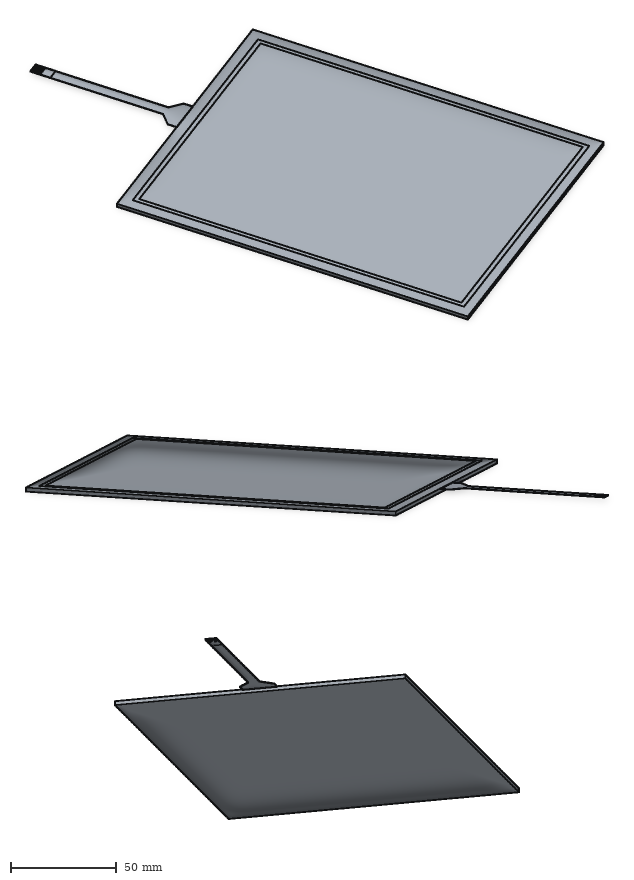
import cadquery as cq

total_length = 265.5
panel_length = 185.5
panel_width = 143.5
total_height = 2.1

frame_height = 0.1
frame_outer_left = 5.5
frame_outer_right = 4.8
frame_outer_side = 5.5
frame_band_x = 2.5
frame_band_y = 2.0

tail_length = total_length - panel_length
tail_width = 5.5
tail_thickness = 0.32
tail_top = 1.9
root_width = 17.0
root_straight = 4.8
root_taper = 5.3
root_overlap = 2.7

stiffener_length = 10.5
stiffener_thickness = 0.05
contact_count = 4
contact_pitch = 1.0
contact_width = 0.5
contact_length = 5.3
contact_height = 0.05

panel_left = -total_length / 2 + tail_length
panel_right = total_length / 2
panel_top = total_height - frame_height
tail_tip = -total_length / 2


def box(x_start, x_end, width, z_bottom, height, y_center=0.0):
    """Box between two X positions, centred on y_center."""
    return (
        cq.Workplane("XY", origin=((x_start + x_end) / 2, y_center, z_bottom))
        .rect(x_end - x_start, width)
        .extrude(height)
    )


def make_panel():
    """Glass plate carrying a thin raised rectangular frame."""
    plate = box(panel_left, panel_right, panel_width, 0, panel_top)
    left = panel_left + frame_outer_left
    right = panel_right - frame_outer_right
    width = panel_width - 2 * frame_outer_side
    frame = box(left, right, width, panel_top, frame_height)
    window = box(
        left + frame_band_x,
        right - frame_band_x,
        width - 2 * frame_band_y,
        panel_top,
        frame_height,
    )
    return plate.union(frame.cut(window))


def make_tail():
    """Flat ribbon that widens to its root and enters the panel edge."""
    root_end = panel_left + root_overlap
    shoulder = panel_left - root_straight
    neck = shoulder - root_taper
    return (
        cq.Workplane("XY", origin=(0, 0, tail_top - tail_thickness))
        .polyline([
            (tail_tip, -tail_width / 2),
            (neck, -tail_width / 2),
            (shoulder, -root_width / 2),
            (root_end, -root_width / 2),
            (root_end, root_width / 2),
            (shoulder, root_width / 2),
            (neck, tail_width / 2),
            (tail_tip, tail_width / 2),
        ])
        .close()
        .extrude(tail_thickness)
    )


def add_contacts(tail):
    """Stiffener plate on top of the tail tip with a row of contact strips on it."""
    stiffener = box(tail_tip, tail_tip + stiffener_length, tail_width, tail_top, stiffener_thickness)
    tail = tail.union(stiffener)
    strip_bottom = tail_top + stiffener_thickness
    for index in range(contact_count):
        y = (index - (contact_count - 1) / 2) * contact_pitch
        strip = box(tail_tip, tail_tip + contact_length, contact_width, strip_bottom, contact_height, y)
        tail = tail.union(strip)
    return tail


result = make_panel().union(add_contacts(make_tail()))